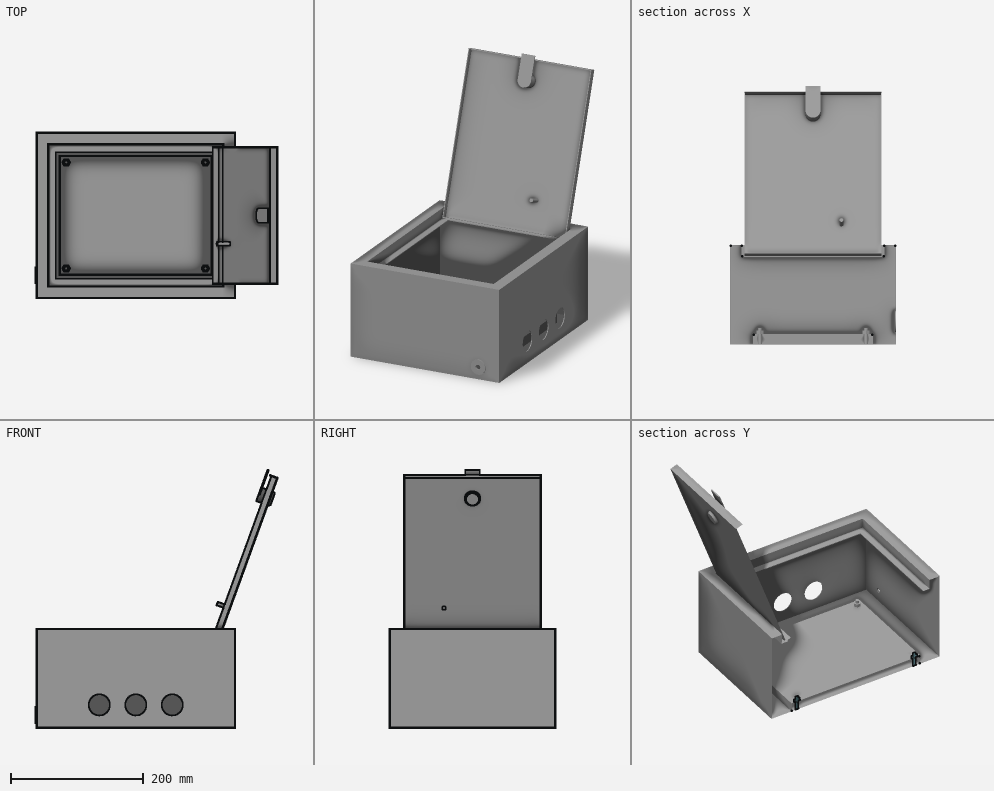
import cadquery as cq
import math

length = 300.0
width = 250.0
height = 150.0
sheet = 1.2
rim_width = 18.7
recess_depth = 16.5
ledge_width = 11.0

entry_diameter = 32.0
entry_spacing = 55.0
entry_height = 35.0

boss_diameter = 24.0
boss_hole_diameter = 7.8
boss_projection = 1.5
boss_from_front = 35.0
boss_height = 20.0

pan_inset = 35.0
pan_height = 15.0

stud_inset = 45.2
stud_diameter = 6.0
stud_projection = 9.5
nut_across_flats = 10.0
nut_height = 5.0

lid_length = 259.0
lid_width = 207.0
lid_depth = 10.0
lid_free_end_depth = 12.5
lid_tilt = 20.0
lid_clearance = 0.08
lid_pin_diameter = 6.0
lid_pin_length = 20.0
lid_pin_from_hinge = 50.0
lid_pin_offset = 43.0

lock_diameter = 22.2
lock_from_hinge = 226.0
cam_gap = 8.5
cam_thickness = 2.0
cam_reach = 39.5
knob_base_diameter = 23.5
knob_face_diameter = 19.5
knob_height = 4.0

mid_x = length / 2
mid_y = width / 2
opening_length = length - 2 * rim_width
opening_width = width - 2 * rim_width


def block(size_x, size_y, bottom, top):
    """Block centred on the housing in plan, between two heights."""
    return cq.Workplane("XY").box(size_x, size_y, top - bottom, centered=(True, True, False)).translate(
        (mid_x, mid_y, bottom)
    )


def stud_centres():
    """Plan positions of the four studs."""
    return [
        (x, y)
        for x in (stud_inset, length - stud_inset)
        for y in (stud_inset, width - stud_inset)
    ]


def make_housing():
    body = block(length, width, 0, height)
    body = body.cut(block(length - 2 * sheet, width - 2 * sheet, sheet, height - sheet))

    ledge_z = height - recess_depth
    lining = block(opening_length + 2 * sheet, opening_width + 2 * sheet, ledge_z - sheet, height)
    recess = block(opening_length, opening_width, ledge_z, height)
    mouth = block(opening_length - 2 * ledge_width, opening_width - 2 * ledge_width, ledge_z - sheet, height)
    body = body.union(lining).cut(recess).cut(mouth)

    for step in (-1, 0, 1):
        entry = (
            cq.Workplane("XZ")
            .center(mid_x + step * entry_spacing, entry_height)
            .circle(entry_diameter / 2)
            .extrude(-sheet)
        )
        body = body.cut(entry)

    boss_plane = cq.Workplane("YZ", origin=(-boss_projection, boss_from_front, boss_height))
    boss = boss_plane.circle(boss_diameter / 2).extrude(boss_projection)
    boss_hole = boss_plane.circle(boss_hole_diameter / 2).extrude(boss_projection + sheet)
    return body.union(boss).cut(boss_hole)


def make_pan():
    pan_length = length - 2 * pan_inset
    pan_width = width - 2 * pan_inset
    pan_top = sheet + pan_height
    pan = block(pan_length, pan_width, sheet, pan_top)
    pan = pan.cut(block(pan_length - 2 * sheet, pan_width - 2 * sheet, sheet, pan_top - sheet))
    stud_holes = (
        cq.Workplane("XY").pushPoints(stud_centres()).circle(stud_diameter / 2).extrude(height)
    ).translate((0, 0, pan_top - sheet))
    return pan.cut(stud_holes)


def make_stud(x, y):
    """Stud standing on the floor, with its nut resting on the pan."""
    pan_top = sheet + pan_height
    shank = cq.Workplane("XY", origin=(x, y, sheet)).circle(stud_diameter / 2).extrude(
        pan_height + stud_projection
    )
    across_corners = nut_across_flats / math.cos(math.radians(30))
    nut = cq.Workplane("XY", origin=(x, y, pan_top)).polygon(6, across_corners).extrude(nut_height)
    return shank.union(nut)


def swing(body):
    """Place a body modelled upright at the hinge line: X is outward, Z runs up the lid."""
    tilt = math.radians(lid_tilt)
    lift = height - recess_depth + lid_depth * math.sin(tilt)
    rise = height - lift
    edge_x = length - rim_width - lid_clearance
    hinge_x = edge_x - lid_depth / math.cos(tilt) - rise * math.tan(tilt)
    return body.rotate((0, 0, 0), (0, 1, 0), lid_tilt).translate((hinge_x, mid_y, lift))


def lid_cylinder(start, end, diameter, offset, up):
    """Cylinder square to the lid, between two depths from the lid's rim plane."""
    plane = cq.Workplane("YZ", origin=(start, offset, up))
    return plane.circle(diameter / 2).extrude(end - start)


def lid_block(depth, block_width, bottom, top):
    """Block reaching from the lid's outer face towards the inside of the box."""
    blank = cq.Workplane("XY").box(depth, block_width, top - bottom, centered=(False, True, False))
    return blank.translate((lid_depth - depth, 0, bottom))


def make_lid():
    inner_face = lid_depth - sheet
    tray = lid_block(lid_depth, lid_width, 0, lid_length)
    hollow = lid_block(lid_depth, lid_width - 2 * sheet, sheet, lid_length - sheet)
    skin = lid_block(sheet, lid_width, 0, lid_length)
    free_flange = lid_block(lid_free_end_depth, lid_width, lid_length - sheet, lid_length)
    tray = tray.cut(hollow).union(skin).union(free_flange)
    pin = lid_cylinder(
        inner_face - lid_pin_length, inner_face, lid_pin_diameter, -lid_pin_offset, lid_pin_from_hinge
    )
    lock_hole = lid_cylinder(inner_face, lid_depth, lock_diameter, 0, lock_from_hinge)
    return swing(tray.union(pin).cut(lock_hole))


def make_lock():
    cam_inner = -cam_gap + cam_thickness
    barrel = lid_cylinder(cam_inner, lid_depth, lock_diameter, 0, lock_from_hinge)
    cam = (
        cq.Workplane("YZ", origin=(-cam_gap, 0, lock_from_hinge))
        .moveTo(-lock_diameter / 2, 0)
        .threePointArc((0, -lock_diameter / 2), (lock_diameter / 2, 0))
        .lineTo(lock_diameter / 2, cam_reach)
        .lineTo(-lock_diameter / 2, cam_reach)
        .close()
        .extrude(cam_thickness)
    )
    knob = (
        cq.Workplane("YZ", origin=(lid_depth, 0, lock_from_hinge))
        .circle(knob_base_diameter / 2)
        .workplane(offset=knob_height)
        .circle(knob_face_diameter / 2)
        .loft()
    )
    return swing(barrel.union(cam).union(knob))


housing = make_housing()
pan = make_pan()
studs = [make_stud(x, y) for x, y in stud_centres()]
lid = make_lid()
lock = make_lock()

result = cq.Compound.makeCompound(
    [housing.val(), pan.val(), *[stud.val() for stud in studs], lid.val(), lock.val()]
)